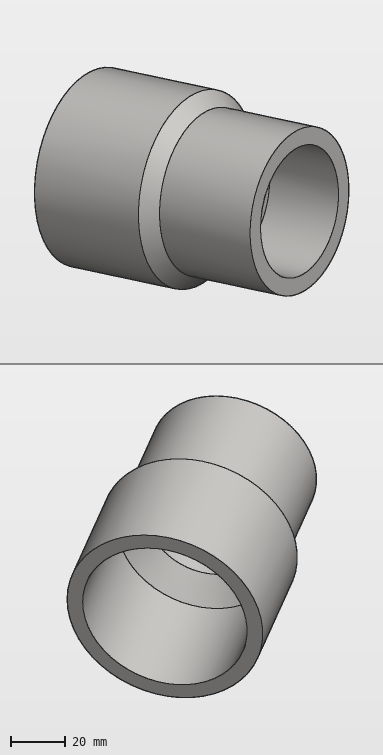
import cadquery as cq

total_length = 93.0
large_outer_diameter = 75.0
small_outer_diameter = 63.5
large_body_length = 46.8
shoulder_length = 5.5

large_socket_diameter = 63.0
large_socket_depth = large_body_length
small_socket_diameter = 50.0
small_socket_depth = 31.0
throat_diameter = 45.0
cone_length = (large_socket_diameter - throat_diameter) / 2


def revolve_about_x(profile):
    """Revolve (x, radius) points, closed along the X axis, into a solid."""
    first_x = profile[0][0]
    last_x = profile[-1][0]
    outline = [(first_x, 0)] + profile + [(last_x, 0)]
    return cq.Workplane("XY").polyline(outline).close().revolve(360, (0, 0, 0), (1, 0, 0))


def outer_body():
    large_radius = large_outer_diameter / 2
    small_radius = small_outer_diameter / 2
    return revolve_about_x([
        (0, large_radius),
        (large_body_length, large_radius),
        (large_body_length + shoulder_length, small_radius),
        (total_length, small_radius),
    ])


def passage():
    socket_radius = large_socket_diameter / 2
    throat_radius = throat_diameter / 2
    small_socket_radius = small_socket_diameter / 2
    throat_end = total_length - small_socket_depth
    throat_start = large_socket_depth + cone_length
    return revolve_about_x([
        (0, socket_radius),
        (large_socket_depth, socket_radius),
        (throat_start, throat_radius),
        (throat_end, throat_radius),
        (throat_end, small_socket_radius),
        (total_length, small_socket_radius),
    ])


result = outer_body().cut(passage()).translate((-total_length / 2, 0, 0))